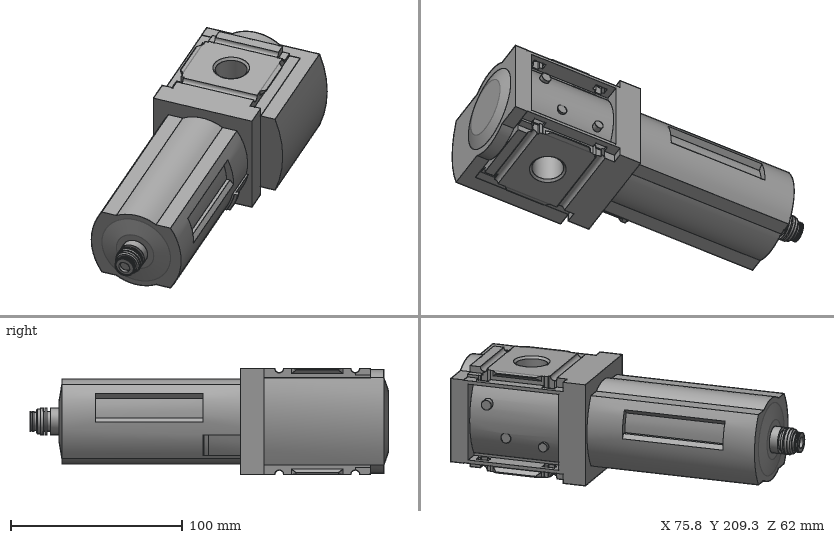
import cadquery as cq

BLOCK_HALF = 31.0
FLANGE_LENGTH = 13.8
RAISED_END = 75.8
PLATE_END = 83.7
PLATE_HALF_HEIGHT = 25.5
STRIP_HALF_HEIGHT = 25.3
COVER_TIP = 44.8
COVER_EDGE = 40.0
PAD_HALF_WIDTH = 24.3
BUMP_HALF_WIDTH = 14.9
BUMP_TOP = 30.4
DOME_BASE_RADIUS = 25.3
DOME_TOP_RADIUS = 17.4
DOME_HEIGHT = 2.7
DOME_BULGE = 0.5
NOTCH_HALF_SPACING = 19.9
NOTCH_FLOOR = 27.0
GROOVE_RADIUS = 2.5
GROOVE_OFFSET = 22.2
PORT_DIAMETER = 18.6
PORT_MOUTH_DIAMETER = 21.4
PORT_DEPTH = 21.0
PORT_CHAMFER = (PORT_MOUTH_DIAMETER - PORT_DIAMETER) / 2
WINDOW_LENGTH = 56.3
WINDOW_HALF_HEIGHT = 23.2
WINDOW_FLOOR = -21.4
LUG_TIP = 27.0
LUG_TOP = 30.5
LUG_TIP_UNDERSIDE = 30.0
LUG_ROOT = 27.8
LUG_BASE_LENGTH = 30.1
LUG_TIP_LENGTH = 24.7
HOLE_OUTER = -27.6
HOLE_STEP = -23.9
HOLE_INNER = -22.2
HOLE_OFFSET = 20.5
HOLE_WIDTH = 7.5
HOLE_NECK_SHIFT = 0.5
HOLE_NECK_WIDTH = 4.2
BUTTONS = [(-29.5, 62.2, 11.0, 6.0), (-27.8, 50.7, -8.4, 6.0), (-29.5, 27.0, -10.9, 5.5)]

port_y = (FLANGE_LENGTH + RAISED_END) / 2

BOWL_LENGTH = 104.3
BOWL_RADIUS = 25.0
BOWL_HALF_WIDTH = 28.3
BOWL_CORNER = 21.5
SIGHT_START = 22.0
SIGHT_END = 84.5
LATCH_LENGTH = 22.0
LATCH_THICKNESS = 1.3
LATCH_TOP = -8.0
LATCH_BOTTOM = -19.9
LATCH_LIP_HEIGHT = 3.1
LATCH_LIP_START = 18.6
LATCH_LIP_END = 21.4

CONE_BASE_RADIUS = 21.5
CONE_TOP_RADIUS = 11.7
CONE_END = 106.0
DRAIN_RADIUS = 7.85
DRAIN_NECK_RADIUS = 5.9
DRAIN_TIP_RADIUS = 5.9
DRAIN_TIP_NECK_RADIUS = 5.5
DRAIN_END = 122.9
BORE_DIAMETER = 6.7
BORE_DEPTH = 2.0


def box(x0, x1, y0, y1, z0, z1):
    """Box between two corners."""
    return cq.Workplane("XY").box(x1 - x0, y1 - y0, z1 - z0, centered=False).translate((x0, y0, z0))


def extrude_y(sketch, y0, y1):
    """Extrude an outline drawn on the XZ plane from y0 to y1."""
    return sketch.extrude(y0 - y1).translate((0, y0, 0))


def lens(y0, y1, growth=0.0):
    """Flat-topped prism with two bulging sides, each moved outward by growth."""
    corner = BOWL_CORNER + growth
    crown = BOWL_HALF_WIDTH + growth
    outline = (
        cq.Workplane("XZ")
        .moveTo(-corner, BOWL_CORNER)
        .lineTo(corner, BOWL_CORNER)
        .threePointArc((crown, 0), (corner, -BOWL_CORNER))
        .lineTo(-corner, -BOWL_CORNER)
        .threePointArc((-crown, 0), (-corner, BOWL_CORNER))
        .close()
    )
    return extrude_y(outline, y0, y1)


def revolve_y(points):
    """Turn a closed (radius, y) outline around the Y axis."""
    return cq.Workplane("XY").polyline(points).close().revolve(360, (0, 0, 0), (0, 1, 0))


def end_plate_and_cover():
    """End plate with a bump above and below, a domed cap, and the crowned side cover."""
    h = PLATE_HALF_HEIGHT
    plate = box(-BLOCK_HALF, BLOCK_HALF, RAISED_END, PLATE_END, -h, h)
    bump = extrude_y(
        cq.Workplane("XZ")
        .moveTo(-BUMP_HALF_WIDTH, h)
        .threePointArc((0, BUMP_TOP), (BUMP_HALF_WIDTH, h))
        .lineTo(BUMP_HALF_WIDTH, -h)
        .threePointArc((0, -BUMP_TOP), (-BUMP_HALF_WIDTH, -h))
        .close(),
        RAISED_END,
        PLATE_END,
    )
    cover = extrude_y(
        cq.Workplane("XZ")
        .moveTo(BLOCK_HALF, h)
        .lineTo(COVER_EDGE, h)
        .threePointArc((COVER_TIP, 0), (COVER_EDGE, -h))
        .lineTo(BLOCK_HALF, -h)
        .close(),
        FLANGE_LENGTH,
        PLATE_END,
    )
    dome_mid = ((DOME_BASE_RADIUS + DOME_TOP_RADIUS) / 2 + DOME_BULGE, PLATE_END + DOME_HEIGHT / 2)
    dome = (
        cq.Workplane("XY")
        .moveTo(0, RAISED_END)
        .lineTo(DOME_BASE_RADIUS, RAISED_END)
        .lineTo(DOME_BASE_RADIUS, PLATE_END)
        .threePointArc(dome_mid, (DOME_TOP_RADIUS, PLATE_END + DOME_HEIGHT))
        .lineTo(0, PLATE_END + DOME_HEIGHT)
        .close()
        .revolve(360, (0, 0, 0), (0, 1, 0))
    )
    return plate.union(cover).union(bump).union(dome)


def raised_pad():
    """Pad above and below the strips, with notched far corners and two cross grooves per face."""
    w = PAD_HALF_WIDTH
    pad = box(-w, w, FLANGE_LENGTH, RAISED_END, -BLOCK_HALF, BLOCK_HALF)
    notch_start = port_y + GROOVE_OFFSET
    for z0 in (NOTCH_FLOOR, -BLOCK_HALF):
        z1 = z0 + BLOCK_HALF - NOTCH_FLOOR
        for x0 in (NOTCH_HALF_SPACING, -w):
            pad = pad.cut(box(x0, x0 + w - NOTCH_HALF_SPACING, notch_start, RAISED_END, z0, z1))
    for z in (-BLOCK_HALF, BLOCK_HALF):
        for y in (port_y - GROOVE_OFFSET, port_y + GROOVE_OFFSET):
            groove = cq.Workplane("YZ", origin=(-w, y, z)).circle(GROOVE_RADIUS).extrude(2 * w)
            pad = pad.cut(groove)
    return pad


def dovetail_lug():
    """Undercut lug with tapered ends on the upper +X side of the pad."""
    section = extrude_y(
        cq.Workplane("XZ").polyline(
            [
                (PAD_HALF_WIDTH, LUG_ROOT),
                (LUG_TIP, LUG_TIP_UNDERSIDE),
                (LUG_TIP, LUG_TOP),
                (PAD_HALF_WIDTH, BLOCK_HALF),
            ]
        ).close(),
        FLANGE_LENGTH,
        RAISED_END,
    )
    plan = (
        cq.Workplane("XY")
        .polyline(
            [
                (PAD_HALF_WIDTH, port_y - LUG_BASE_LENGTH / 2),
                (LUG_TIP, port_y - LUG_TIP_LENGTH / 2),
                (LUG_TIP, port_y + LUG_TIP_LENGTH / 2),
                (PAD_HALF_WIDTH, port_y + LUG_BASE_LENGTH / 2),
            ]
        )
        .close()
        .extrude(BLOCK_HALF)
    )
    return section.intersect(plan)


def port():
    """Blind port from the top face with a chamfered mouth."""
    bore = cq.Workplane("XY", origin=(0, port_y, BLOCK_HALF)).circle(PORT_DIAMETER / 2).extrude(-PORT_DEPTH)
    mouth = cq.Solid.makeCone(
        PORT_DIAMETER / 2,
        PORT_MOUTH_DIAMETER / 2,
        PORT_CHAMFER,
        cq.Vector(0, port_y, BLOCK_HALF - PORT_CHAMFER),
    )
    return bore.union(cq.Workplane(mouth))


def window():
    """Side recess that leaves a bulging core standing inside it."""
    y0 = port_y - WINDOW_LENGTH / 2
    y1 = port_y + WINDOW_LENGTH / 2
    recess = box(-BLOCK_HALF, WINDOW_FLOOR, y0, y1, -WINDOW_HALF_HEIGHT, WINDOW_HALF_HEIGHT)
    return recess.cut(lens(y0, y1))


def strip_slot(side):
    """Stepped slot through the upper strip into the window; side is +1 or -1 along Y."""
    y = port_y + side * HOLE_OFFSET
    neck_y = y + side * HOLE_NECK_SHIFT
    wide = box(HOLE_OUTER, HOLE_STEP, y - HOLE_WIDTH / 2, y + HOLE_WIDTH / 2, BOWL_CORNER, BLOCK_HALF)
    neck = box(
        HOLE_STEP,
        HOLE_INNER,
        neck_y - HOLE_NECK_WIDTH / 2,
        neck_y + HOLE_NECK_WIDTH / 2,
        BOWL_CORNER,
        BLOCK_HALF,
    )
    return wide.union(neck)


def button(face_x, y, z, diameter):
    """Round flat-faced button standing on the core in the window."""
    return (
        cq.Workplane("YZ", origin=(face_x, y, z))
        .circle(diameter / 2)
        .extrude(WINDOW_FLOOR - face_x)
    )


def make_housing():
    """Square block with end plate, side cover, two ports and a side window."""
    b = BLOCK_HALF
    body = box(-b, b, 0, FLANGE_LENGTH, -b, b)
    body = body.union(box(-b, b, FLANGE_LENGTH, RAISED_END, -STRIP_HALF_HEIGHT, STRIP_HALF_HEIGHT))
    body = body.union(raised_pad()).union(end_plate_and_cover())
    lug = dovetail_lug()
    for upper in (lug, lug.mirror("YZ")):
        body = body.union(upper).union(upper.mirror("XY"))
    body = body.cut(window())
    for upper in (port(), strip_slot(-1), strip_slot(1)):
        body = body.cut(upper).cut(upper.mirror("XY"))
    for face_x, y, z, diameter in BUTTONS:
        body = body.union(button(face_x, y, z, diameter))
    return body


def sight_slot():
    """Slot in the -X side of the bowl with sloping long edges and a ledge below the pane."""
    outline = (
        cq.Workplane("XZ")
        .moveTo(-30.4, -2.7)
        .lineTo(-26.0, 2.0)
        .lineTo(-23.9, 2.0)
        .threePointArc((-23.2, 7.7), (-21.5, 13.5))
        .lineTo(-24.7, 16.3)
        .lineTo(-30.4, 21.5)
        .close()
    )
    return extrude_y(outline, -SIGHT_END, -SIGHT_START)


def latch():
    """Thin curved latch on the +X side of the bowl with a lip near its free end."""
    parts = []
    for height, start, end in (
        (LATCH_THICKNESS, 0, LATCH_LENGTH),
        (LATCH_LIP_HEIGHT, LATCH_LIP_START, LATCH_LIP_END),
    ):
        limit = box(BOWL_CORNER, COVER_TIP, -end, -start, LATCH_BOTTOM, LATCH_TOP)
        parts.append(lens(-end, -start, height).intersect(limit))
    return parts[0].union(parts[1])


def drain():
    """Shallow cone and ribbed hose fitting at the free end of the bowl."""
    r = DRAIN_RADIUS
    n = DRAIN_NECK_RADIUS
    t = DRAIN_TIP_RADIUS
    s = DRAIN_TIP_NECK_RADIUS
    profile = [
        (0, -BOWL_LENGTH),
        (CONE_BASE_RADIUS, -BOWL_LENGTH),
        (CONE_TOP_RADIUS, -CONE_END),
        (r, -CONE_END), (r, -111.0),
        (n, -111.0), (n, -112.8),
        (r, -112.8), (r, -114.0),
        (n, -114.0), (n, -115.0),
        (r, -115.0), (r, -116.6),
        (7.3, -116.6), (7.3, -118.3),
        (6.5, -119.1),
        (s, -119.1), (s, -120.5),
        (t, -120.5), (t, -121.5),
        (s, -121.5), (s, -122.3),
        (t, -122.3), (t, -DRAIN_END),
        (0, -DRAIN_END),
    ]
    bore = extrude_y(cq.Workplane("XZ").circle(BORE_DIAMETER / 2), -DRAIN_END, BORE_DEPTH - DRAIN_END)
    return revolve_y(profile).cut(bore)


def make_bowl():
    """Bowl with bulging sides, two sight slots, a latch and the drain fitting."""
    barrel = extrude_y(cq.Workplane("XZ").circle(BOWL_RADIUS), -BOWL_LENGTH, 0)
    body = lens(-BOWL_LENGTH, 0).union(barrel)
    slot = sight_slot()
    body = body.cut(slot).cut(slot.mirror("YZ"))
    return body.union(latch()).union(drain())


housing = make_housing()
bowl = make_bowl()
result = cq.Compound.makeCompound([housing.val(), bowl.val()])